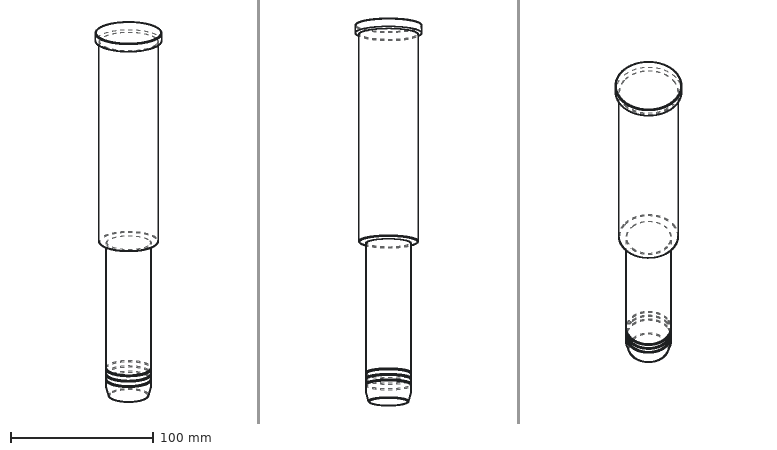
import cadquery as cq
import math

total_length = 271.0

head_diameter = 47.0
head_height = 6.0
head_chamfer = 0.5

body_diameter = 42.0
body_end_z = 115.0
body_chamfer = 0.5

shaft_diameter = 32.0

groove_width = 1.0
groove_count = 3
groove_pitch = 4 * groove_width
lowest_groove_z = 12.5

lead_height = 7.0
lead_angle = math.radians(15)
tip_chamfer = 0.5


def cylinder(diameter, bottom, top):
    """Solid cylinder about Z between two heights."""
    return cq.Workplane("XY").workplane(offset=bottom).circle(diameter / 2).extrude(top - bottom)


def ring_groove(diameter, center_z):
    """Ring of round section whose inner half cuts into a cylinder of the given diameter."""
    center = cq.Vector(0, 0, center_z)
    return cq.Workplane(cq.Solid.makeTorus(diameter / 2, groove_width / 2, center))


def relief_groove(diameter, shoulder_z):
    """Ring groove that starts directly below a shoulder."""
    return ring_groove(diameter, shoulder_z - groove_width / 2)


def lead_in():
    """Cone that narrows from the shaft to a chamfered tip."""
    shaft_radius = shaft_diameter / 2
    tip_radius = shaft_radius - lead_height * math.tan(lead_angle)
    profile = (
        cq.Workplane("XZ")
        .lineTo(tip_radius, 0)
        .lineTo(shaft_radius, lead_height)
        .lineTo(0, lead_height)
        .close()
    )
    return profile.revolve(360, (0, 0, 0), (0, 1, 0)).edges("<Z").chamfer(tip_chamfer)


head_bottom_z = total_length - head_height
head = cylinder(head_diameter, head_bottom_z, total_length).edges(">Z").chamfer(head_chamfer)

body = cylinder(body_diameter, body_end_z, head_bottom_z).edges("<Z").chamfer(body_chamfer)
body = body.cut(relief_groove(body_diameter, head_bottom_z))

shaft = cylinder(shaft_diameter, lead_height, body_end_z)
shaft = shaft.cut(relief_groove(shaft_diameter, body_end_z))
for index in range(groove_count):
    shaft = shaft.cut(ring_groove(shaft_diameter, lowest_groove_z + index * groove_pitch))

result = head.union(body).union(shaft).union(lead_in())